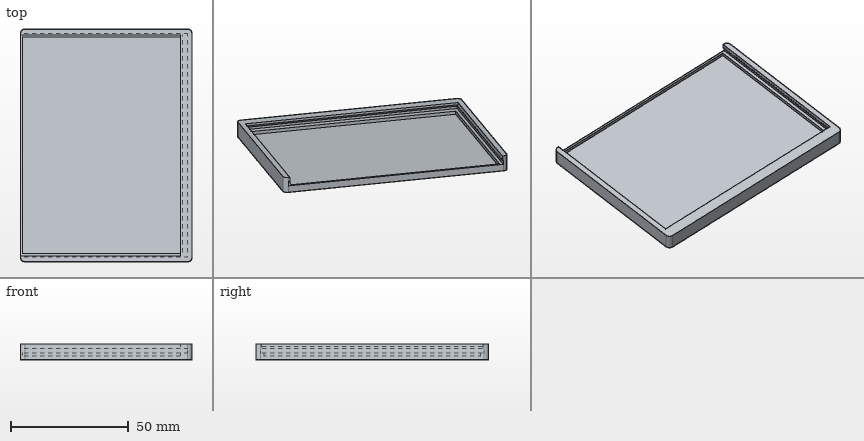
import cadquery as cq

LENGTH_X = 73.0
WIDTH_Y = 99.0
HEIGHT = 6.8
CORNER_RADIUS = 2.0

SLOT_WALL = 2.0
SLOT_FLOOR_Z = 3.0
SLOT_CEILING_Z = 4.8
LIP_SIDE_WIDTH = 2.5
LIP_END_WIDTH = 5.0
LIP_END_CHAMFER = 1.0

POCKET_FLOOR_Z = 1.6
LEDGE_WIDTH = 1.0

X_OPEN = -LENGTH_X / 2
X_SLOT_END = LENGTH_X / 2 - SLOT_WALL
X_LIP_END = LENGTH_X / 2 - LIP_END_WIDTH
SLOT_WIDTH = WIDTH_Y - 2 * SLOT_WALL
LIP_OPENING = WIDTH_Y - 2 * LIP_SIDE_WIDTH


def centred_block(x_start, x_end, width, z_bottom, z_top):
    """Rectangular block between two X stations and two heights, centred on Y."""
    return (
        cq.Workplane("XY", origin=((x_start + x_end) / 2, 0, z_bottom))
        .rect(x_end - x_start, width)
        .extrude(z_top - z_bottom)
    )


def tray_body():
    block = centred_block(X_OPEN, -X_OPEN, WIDTH_Y, 0, HEIGHT)
    return block.edges("|Z").fillet(CORNER_RADIUS)


def lid_slot():
    return centred_block(X_OPEN, X_SLOT_END, SLOT_WIDTH, SLOT_FLOOR_Z, SLOT_CEILING_Z)


def lip_opening():
    """Opening above the slot, flared at its +X end by the chamfer under the end lip."""
    opening_profile = [
        (X_OPEN, SLOT_CEILING_Z),
        (X_LIP_END + LIP_END_CHAMFER, SLOT_CEILING_Z),
        (X_LIP_END, SLOT_CEILING_Z + LIP_END_CHAMFER),
        (X_LIP_END, HEIGHT),
        (X_OPEN, HEIGHT),
    ]
    return cq.Workplane("XZ").polyline(opening_profile).close().extrude(LIP_OPENING / 2, both=True)


def floor_pocket():
    pocket_width = LIP_OPENING - 2 * LEDGE_WIDTH
    return centred_block(X_OPEN + LEDGE_WIDTH, X_LIP_END, pocket_width, POCKET_FLOOR_Z, SLOT_FLOOR_Z)


result = tray_body().cut(lid_slot()).cut(lip_opening()).cut(floor_pocket())